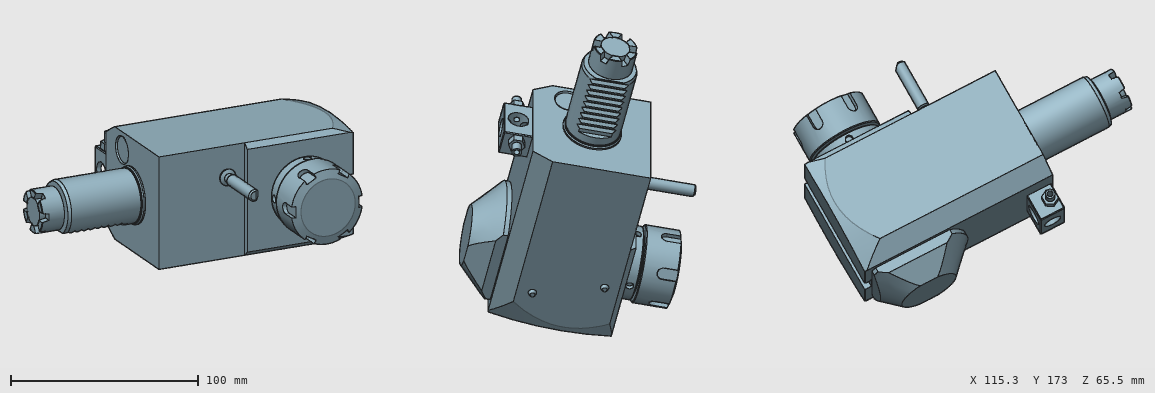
import cadquery as cq
import math


HALF_HEIGHT = 31.8
HOUSING_LEFT = -32.2
HOUSING_RIGHT = 32.0
HOUSING_BACK = 113.8
LEFT_CHAMFER_X = 10.7
LEFT_CHAMFER_Z = 6.0
BACK_EDGE_CHAMFER = 0.5
PLATE_THICKNESS = 3.1
PLATE_FRONT = 50.9
PLATE_CHAMFER = 2.8
CROWN_RADIUS = 150.5
CROWN_CENTER_X = 8.3
CROWN_DROP = 0.9
CROWN_SLOPE = 0.25
KEYWAY_WIDTH = 10.4
KEYWAY_DEPTH = 4.0
PLUG_X = -12.6
PLUG_Z = 21.5
PLUG_RADIUS = 7.8
PLUG_FLOOR_RADIUS = 7.3
PLUG_DEPTH = 0.9

SPINDLE_Y = 84.8
PLATE_RIGHT = HOUSING_RIGHT + PLATE_THICKNESS
RING_RADIUS = 19.9
RING_RIGHT = 42.5
RING_CHAMFER = 0.5
NECK_RADIUS = 16.5
NUT_LEFT = 43.5
NUT_RIGHT = 63.7
NUT_RADIUS = 21.1
NUT_FACE_RADIUS = 16.1
NUT_SHOULDER = 62.3
NUT_SLOT_COUNT = 6
NUT_SLOT_WIDTH = 6.2
NUT_SLOT_LEFT = 51.7
NUT_SLOT_FLOOR_RADIUS = 18.7
PIN_HOLE_RADIUS = 2.0
PIN_HOLE_DEPTH = 2.6
PIN_HOLE_COUNT = 4

COVER_LEFT = -50.3
COVER_FACE_RADIUS = 16.5
COVER_BASE_RADIUS = 32.0
COVER_BACK = 109.5
COVER_HALF_HEIGHT = 22.8
COVER_FACE_HALF_HEIGHT = 15.5
COVER_SLANT_X = 12.5
COVER_CORNER_CHAMFER = 2.0

COLLAR_RADIUS = 16.0
COLLAR_LENGTH = 1.5
COLLAR_CHAMFER = 0.7
RELIEF_RADIUS = 14.7
RELIEF_WIDTH = 0.7
SHANK_RADIUS = 15.0
SHANK_END = 45.3
SHANK_CHAMFER_LENGTH = 1.9
SHANK_END_RADIUS = 14.4
RACK_START = 7.5
RACK_FLAT = 12.1
TOOTH_PITCH = 4.0
TOOTH_COUNT = 9
FIRST_GROOVE = 11.2
GROOVE_DEPTH = 1.4
GROOVE_HALF_WIDTH = 1.5
SHANK_NECK_RADIUS = 9.3
END_NUT_START = 46.2
END_NUT_RADIUS = 12.0
END_NUT_CHAMFER = 0.3
OVERALL_LENGTH = 173.0
END_NUT_SLOT_COUNT = 6
END_NUT_SLOT_FLOOR_WIDTH = 3.5
END_NUT_SLOT_MOUTH_WIDTH = 5.2
END_NUT_SLOT_DEPTH = 3.8
END_NUT_CORE_RADIUS = 7.8
END_NUT_CORE_RECESS = 0.3

BLOCK_LEFT = -47.7
BLOCK_FRONT = 1.0
BLOCK_BACK = 15.7
BLOCK_HALF_HEIGHT = 12.5
BLOCK_CHAMFER = 0.5
FITTING_X = -39.8
FITTING_Y = 5.7
FITTING_HEX_FLATS = 7.8
FITTING_HEX_HEIGHT = 4.2
FITTING_RADIUS = 2.6
FITTING_TOP = 22.0
FITTING_BORE_RADIUS = 1.5
FRONT_PORT_RADIUS = 5.5
SIDE_PORT_RADIUS = 4.8
SIDE_PORT_Y = 8.5
PILOT_RADIUS = 1.0
PILOT_DEPTH = 1.7

NOZZLE_Y = 40.7
NOZZLE_Z = 14.0
NOZZLE_RADIUS = 3.3
NOZZLE_LEFT = 37.7
NOZZLE_RIGHT = 65.0
NOZZLE_CHAMFER = 0.9
NOZZLE_BEVEL = 2.8
NOZZLE_NECK_RADIUS = 2.6
NOZZLE_FLANGE_RADIUS = 4.7
NOZZLE_FLANGE_X = 32.7
NOZZLE_FLANGE_RIGHT = 33.7

SCREW_PLACES = [(-12.8, 90.7), (24.0, 79.0)]
SCREW_RADIUS = 2.2
SCREW_TIP_RADIUS = 1.4
SCREW_HEIGHT = 1.9

OVERLAP = 1.7


def half_section(profile):
    """Join the ends of a (position, radius) profile to the axis."""
    return [(profile[0][0], 0)] + profile + [(profile[-1][0], 0)]


def turned_along_x(profile, y, z):
    """Revolve (x, radius) points about the line parallel to X through (y, z)."""
    section = cq.Workplane("XY").polyline(half_section(profile)).close()
    return section.revolve(360, (0, 0), (1, 0)).translate((0, y, z))


def turned_along_y(profile, x=0, z=0):
    """Revolve (y, radius) points about the line parallel to Y through (x, z)."""
    points = [(radius, y) for y, radius in half_section(profile)]
    section = cq.Workplane("XY").polyline(points).close()
    return section.revolve(360, (0, 0), (0, 1)).translate((x, 0, z))


def box(x_range, y_range, z_range):
    """Box between the given limits."""
    size = [high - low for low, high in (x_range, y_range, z_range)]
    low_corner = (x_range[0], y_range[0], z_range[0])
    return cq.Workplane("XY").box(*size, centered=False).translate(low_corner)


def prism_along_y(section, y_range):
    """Extrude an (x, z) section from the first to the second Y value."""
    length = y_range[1] - y_range[0]
    return cq.Workplane("XZ").polyline(section).close().extrude(-length).translate((0, y_range[0], 0))


def make_housing():
    """Chamfered block with a raised plate on the right and a crowned top and bottom at the back."""
    upper = [
        (HOUSING_LEFT, HALF_HEIGHT - LEFT_CHAMFER_Z),
        (HOUSING_LEFT + LEFT_CHAMFER_X, HALF_HEIGHT),
        (HOUSING_RIGHT, HALF_HEIGHT),
    ]
    lower = [(x, -z) for x, z in reversed(upper)]
    body = prism_along_y(upper + lower, (0, HOUSING_BACK))
    body = body.faces("<X").edges(">Y").chamfer(BACK_EDGE_CHAMFER)

    plate_section = [
        (HOUSING_RIGHT - OVERLAP, HALF_HEIGHT),
        (HOUSING_RIGHT, HALF_HEIGHT),
        (PLATE_RIGHT, HALF_HEIGHT - PLATE_CHAMFER),
        (PLATE_RIGHT, -HALF_HEIGHT + PLATE_CHAMFER),
        (HOUSING_RIGHT, -HALF_HEIGHT),
        (HOUSING_RIGHT - OVERLAP, -HALF_HEIGHT),
    ]
    body = body.union(prism_along_y(plate_section, (PLATE_FRONT, HOUSING_BACK)))

    crown_offset = CROWN_RADIUS + CROWN_DROP - HALF_HEIGHT
    front_radius = CROWN_RADIUS + CROWN_SLOPE * HOUSING_BACK
    crown = turned_along_y([(0, front_radius), (HOUSING_BACK, CROWN_RADIUS)], CROWN_CENTER_X)
    body = body.intersect(crown.translate((0, 0, -crown_offset)))
    body = body.intersect(crown.translate((0, 0, crown_offset)))

    keyway = box(
        (HOUSING_LEFT - OVERLAP, PLATE_RIGHT + OVERLAP),
        (HOUSING_BACK - KEYWAY_DEPTH, HOUSING_BACK + OVERLAP),
        (-KEYWAY_WIDTH / 2, KEYWAY_WIDTH / 2),
    )
    plug_recess = turned_along_y([(0, PLUG_RADIUS), (PLUG_DEPTH, PLUG_FLOOR_RADIUS)], PLUG_X, PLUG_Z)
    pilot_hole = turned_along_x(
        [(HOUSING_LEFT, PILOT_RADIUS), (HOUSING_LEFT + PILOT_DEPTH, PILOT_RADIUS)],
        SIDE_PORT_Y,
        0,
    )
    return body.cut(keyway).cut(plug_recess).cut(pilot_hole)


def make_spindle_nose():
    """Ring with spanner holes and a slotted clamping nut."""
    nose = turned_along_x(
        [
            (PLATE_RIGHT - OVERLAP, RING_RADIUS - RING_CHAMFER),
            (PLATE_RIGHT, RING_RADIUS - RING_CHAMFER),
            (PLATE_RIGHT + RING_CHAMFER, RING_RADIUS),
            (RING_RIGHT - RING_CHAMFER, RING_RADIUS),
            (RING_RIGHT, RING_RADIUS - RING_CHAMFER),
            (RING_RIGHT, NECK_RADIUS),
            (NUT_LEFT, NECK_RADIUS),
            (NUT_LEFT, NUT_RADIUS - RING_CHAMFER),
            (NUT_LEFT + RING_CHAMFER, NUT_RADIUS),
            (NUT_SHOULDER, NUT_RADIUS),
            (NUT_RIGHT, NUT_FACE_RADIUS),
        ],
        0,
        0,
    )
    slot_end_x = NUT_SLOT_LEFT + NUT_SLOT_WIDTH / 2
    slot = box(
        (slot_end_x, NUT_RIGHT + OVERLAP),
        (-NUT_SLOT_WIDTH / 2, NUT_SLOT_WIDTH / 2),
        (NUT_SLOT_FLOOR_RADIUS, NUT_RADIUS + OVERLAP),
    )
    slot_end = (
        cq.Workplane("XY", origin=(slot_end_x, 0, NUT_SLOT_FLOOR_RADIUS))
        .circle(NUT_SLOT_WIDTH / 2)
        .extrude(NUT_RADIUS + OVERLAP - NUT_SLOT_FLOOR_RADIUS)
    )
    slot = slot.union(slot_end).rotate((0, 0, 0), (1, 0, 0), 90)
    for i in range(NUT_SLOT_COUNT):
        nose = nose.cut(slot.rotate((0, 0, 0), (1, 0, 0), i * 360 / NUT_SLOT_COUNT))

    ring_middle = (PLATE_RIGHT + RING_RIGHT) / 2
    pin_hole = (
        cq.Workplane("XY", origin=(ring_middle, 0, RING_RADIUS - PIN_HOLE_DEPTH))
        .circle(PIN_HOLE_RADIUS)
        .extrude(PIN_HOLE_DEPTH + OVERLAP)
    )
    for i in range(PIN_HOLE_COUNT):
        nose = nose.cut(pin_hole.rotate((0, 0, 0), (1, 0, 0), i * 360 / PIN_HOLE_COUNT))
    return nose.translate((0, SPINDLE_Y, 0))


def make_cover():
    """45 degree cone on a short rim, with flats above and below and a flat back."""
    rim_left = COVER_LEFT + COVER_BASE_RADIUS - COVER_FACE_RADIUS
    cover_right = HOUSING_LEFT + OVERLAP
    cone = turned_along_x(
        [
            (COVER_LEFT, COVER_FACE_RADIUS),
            (rim_left, COVER_BASE_RADIUS),
            (cover_right, COVER_BASE_RADIUS),
        ],
        SPINDLE_Y,
        0,
    )
    envelope = box(
        (COVER_LEFT, cover_right),
        (SPINDLE_Y - COVER_BASE_RADIUS, COVER_BACK),
        (-COVER_HALF_HEIGHT, COVER_HALF_HEIGHT),
    )
    envelope = envelope.edges("|X and >Y").chamfer(COVER_CORNER_CHAMFER)
    upper = [
        (COVER_LEFT, COVER_FACE_HALF_HEIGHT),
        (COVER_LEFT + COVER_SLANT_X, COVER_HALF_HEIGHT),
        (cover_right, COVER_HALF_HEIGHT),
    ]
    lower = [(x, -z) for x, z in reversed(upper)]
    slants = prism_along_y(upper + lower, (SPINDLE_Y - COVER_BASE_RADIUS, COVER_BACK))
    return cone.intersect(envelope).intersect(slants)


def make_shank():
    """Collared shank with a toothed flat underneath and a slotted nut on its end."""
    tip = OVERALL_LENGTH - HOUSING_BACK
    shank = turned_along_y(
        [
            (OVERLAP, COLLAR_RADIUS),
            (-COLLAR_LENGTH + COLLAR_CHAMFER, COLLAR_RADIUS),
            (-COLLAR_LENGTH, COLLAR_RADIUS - COLLAR_CHAMFER),
            (-COLLAR_LENGTH, RELIEF_RADIUS),
            (-COLLAR_LENGTH - RELIEF_WIDTH, RELIEF_RADIUS),
            (-COLLAR_LENGTH - RELIEF_WIDTH, SHANK_RADIUS),
            (-SHANK_END + SHANK_CHAMFER_LENGTH, SHANK_RADIUS),
            (-SHANK_END, SHANK_END_RADIUS),
            (-SHANK_END, SHANK_NECK_RADIUS),
            (-END_NUT_START, SHANK_NECK_RADIUS),
            (-END_NUT_START, END_NUT_RADIUS),
            (-tip + END_NUT_CHAMFER, END_NUT_RADIUS),
            (-tip, END_NUT_RADIUS - END_NUT_CHAMFER),
            (-tip, END_NUT_CORE_RADIUS),
            (-tip + END_NUT_CORE_RECESS, END_NUT_CORE_RADIUS),
        ]
    )
    flat_cut = box(
        (-SHANK_RADIUS, SHANK_RADIUS),
        (-SHANK_END, -RACK_START),
        (-SHANK_RADIUS - OVERLAP, -RACK_FLAT),
    )
    shank = shank.cut(flat_cut)
    for i in range(TOOTH_COUNT):
        y = -FIRST_GROOVE - i * TOOTH_PITCH
        groove = (
            cq.Workplane("YZ")
            .polyline(
                [
                    (y - GROOVE_HALF_WIDTH, -RACK_FLAT),
                    (y, -RACK_FLAT + GROOVE_DEPTH),
                    (y + GROOVE_HALF_WIDTH, -RACK_FLAT),
                ]
            )
            .close()
            .extrude(SHANK_RADIUS, both=True)
        )
        shank = shank.cut(groove)

    floor_y = -tip + END_NUT_SLOT_DEPTH
    slot = (
        cq.Workplane("YZ")
        .polyline(
            [
                (floor_y, END_NUT_SLOT_FLOOR_WIDTH / 2),
                (floor_y, -END_NUT_SLOT_FLOOR_WIDTH / 2),
                (-tip, -END_NUT_SLOT_MOUTH_WIDTH / 2),
                (-tip, END_NUT_SLOT_MOUTH_WIDTH / 2),
            ]
        )
        .close()
        .extrude(END_NUT_RADIUS + OVERLAP)
    )
    core = turned_along_y([(-tip - OVERLAP, END_NUT_CORE_RADIUS), (0, END_NUT_CORE_RADIUS)])
    slot = slot.cut(core)
    for i in range(END_NUT_SLOT_COUNT):
        shank = shank.cut(slot.rotate((0, 0, 0), (0, 1, 0), i * 360 / END_NUT_SLOT_COUNT))
    return shank


def make_fitting():
    """Hexagonal fitting with a round nipple, standing on top of the coolant block."""
    hex_corners = FITTING_HEX_FLATS / math.cos(math.pi / 6)
    hex_top = BLOCK_HALF_HEIGHT + FITTING_HEX_HEIGHT
    hexagon = cq.Workplane("XY", origin=(0, 0, BLOCK_HALF_HEIGHT - OVERLAP)).polygon(6, hex_corners)
    fitting = hexagon.extrude(hex_top - BLOCK_HALF_HEIGHT + OVERLAP)
    nipple_circle = cq.Workplane("XY", origin=(0, 0, hex_top)).circle(FITTING_RADIUS)
    nipple = nipple_circle.extrude(FITTING_TOP - hex_top)
    return fitting.union(nipple).translate((FITTING_X, FITTING_Y, 0))


def make_coolant_block():
    """Block bored through from the front, the side and along its upper and lower fittings."""
    block = box(
        (BLOCK_LEFT, HOUSING_LEFT),
        (BLOCK_FRONT, BLOCK_BACK),
        (-BLOCK_HALF_HEIGHT, BLOCK_HALF_HEIGHT),
    )
    block = block.edges("<X or (|X and >Z) or (|X and <Z)").chamfer(BLOCK_CHAMFER)
    front_port = turned_along_y(
        [(BLOCK_FRONT, FRONT_PORT_RADIUS), (BLOCK_BACK, FRONT_PORT_RADIUS)],
        FITTING_X,
    )
    side_port = turned_along_x(
        [(BLOCK_LEFT, SIDE_PORT_RADIUS), (HOUSING_LEFT, SIDE_PORT_RADIUS)],
        SIDE_PORT_Y,
        0,
    )
    fitting_bore = (
        cq.Workplane("XY", origin=(FITTING_X, FITTING_Y, 0))
        .circle(FITTING_BORE_RADIUS)
        .extrude(FITTING_TOP, both=True)
    )
    fitting = make_fitting()
    block = block.union(fitting).union(fitting.mirror("XY"))
    return block.cut(front_port).cut(side_port).cut(fitting_bore)


def make_nozzle():
    """Coolant nozzle with a flanged neck and a one-sided bevel at its tip."""
    nozzle = turned_along_x(
        [
            (HOUSING_RIGHT - OVERLAP, NOZZLE_FLANGE_RADIUS),
            (NOZZLE_FLANGE_X, NOZZLE_FLANGE_RADIUS),
            (NOZZLE_FLANGE_RIGHT, NOZZLE_NECK_RADIUS),
            (NOZZLE_LEFT - NOZZLE_CHAMFER, NOZZLE_NECK_RADIUS),
            (NOZZLE_LEFT, NOZZLE_RADIUS),
            (NOZZLE_RIGHT - NOZZLE_CHAMFER, NOZZLE_RADIUS),
            (NOZZLE_RIGHT, NOZZLE_RADIUS - NOZZLE_CHAMFER),
        ],
        NOZZLE_Y,
        NOZZLE_Z,
    )
    side = NOZZLE_Y + NOZZLE_RADIUS
    bevel = (
        cq.Workplane("XY")
        .polyline(
            [
                (NOZZLE_RIGHT - NOZZLE_BEVEL, side),
                (NOZZLE_RIGHT, side),
                (NOZZLE_RIGHT, side - NOZZLE_BEVEL),
            ]
        )
        .close()
        .extrude(NOZZLE_Z + NOZZLE_RADIUS)
    )
    return nozzle.cut(bevel)


def make_screw(x, y):
    """Tapered screw head on the underside of the housing."""
    head = cq.Workplane("XZ").polyline(
        [
            (0, -HALF_HEIGHT + OVERLAP),
            (SCREW_RADIUS, -HALF_HEIGHT + OVERLAP),
            (SCREW_RADIUS, -HALF_HEIGHT),
            (SCREW_TIP_RADIUS, -HALF_HEIGHT - SCREW_HEIGHT),
            (0, -HALF_HEIGHT - SCREW_HEIGHT),
        ]
    )
    return head.close().revolve(360, (0, 0), (0, 1)).translate((x, y, 0))


result = make_housing()
for component in (make_spindle_nose(), make_cover(), make_shank(), make_coolant_block(), make_nozzle()):
    result = result.union(component)
for screw_x, screw_y in SCREW_PLACES:
    result = result.union(make_screw(screw_x, screw_y))